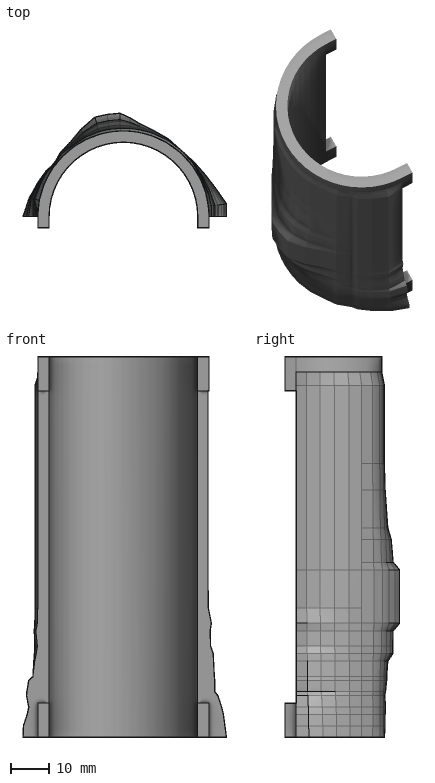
import cadquery as cq
import math

height = 100.0
bore_radius = 19.5
wall = 3.0
tube_radius = bore_radius + wall

collar_height = 4.0
bark_top = height - collar_height
tab_height = 9.0
tab_depth = 3.0

bark_profile = [
    (0, -0.3, 1.0, 0.0, 0.0),
    (7, -0.1, 1.0, 0.0, 0.0),
    (16, 0.1, 0.6, 0.0, 0.0),
    (26, 0.3, 0.3, 0.0, 0.0),
    (37, 0.5, 0.1, 0.0, 0.0),
    (48, 0.6, 0.0, 0.0, 0.0),
    (60, 0.7, 0.0, 0.1, 0.0),
    (71, 0.7, 0.0, 0.2, 0.0),
    (80, 0.7, 0.0, 0.4, 0.0),
    (86, 0.7, 0.0, 0.7, 0.0),
    (92, 0.7, 0.0, 1.0, 0.0),
    (99, 0.7, 0.0, 1.0, 0.0),
    (106, 0.7, 0.0, 1.0, 0.0),
    (116, 0.6, 0.0, 0.6, 0.0),
    (125, 0.4, 0.0, 0.3, 0.0),
    (135, 0.7, 0.0, 0.1, 0.0),
    (145, 0.2, 0.0, 0.0, 0.1),
    (149, 0.7, 0.0, 0.0, 0.1),
    (158, 0.9, 0.0, 0.0, 0.2),
    (169, 1.2, 0.0, 0.0, 0.4),
    (180, 0.0, 0.0, 0.0, 1.0),
]

bark_levels = [
    (0.0, 4.9, 0.0, 3.9),
    (3.0, 4.5, 0.2, 3.8),
    (6.0, 4.1, 0.2, 2.8),
    (8.0, 3.6, 0.3, 2.4),
    (11.0, 2.6, 0.1, 3.0),
    (12.0, 1.8, 0.3, 2.9),
    (15.0, 1.8, 0.6, 2.4),
    (16.0, 1.7, 0.6, 1.3),
    (20.0, 1.5, 0.9, 0.8),
    (22.0, 1.4, 2.2, 0.4),
    (24.0, 0.7, 2.2, 0.1),
    (28.0, 0.6, 2.3, 0.5),
    (30.0, 0.9, 4.0, 0.1),
    (34.0, 0.1, 4.0, 0.0),
    (44.0, 0.0, 4.0, 0.0),
    (46.0, 0.0, 2.3, 0.0),
    (52.0, 0.0, 1.8, 0.0),
    (55.0, 0.0, 0.9, 0.0),
    (65.0, 0.0, 0.2, 0.0),
    (72.0, 0.0, 0.0, 0.0),
    (92.5, 0.0, 0.0, 0.0),
]


def at_angle(radius, angle, z):
    turn = math.radians(angle)
    return cq.Vector(radius * math.cos(turn), radius * math.sin(turn), z)


def bark_outline(z, right_root, crest, left_root, coat_scale=1.0):
    """Closed outline of the trunk at one height, flat along the split plane."""
    points = []
    for angle, coat, right_share, crest_share, left_share in bark_profile:
        swelling = right_share * right_root + crest_share * crest + left_share * left_root
        points.append(at_angle(tube_radius + coat_scale * coat + swelling, angle, z))
    return cq.Wire.makePolygon(points, close=True)


def bark_trunk():
    """Faceted trunk that fades into the collar at its top."""
    outlines = [bark_outline(*level) for level in bark_levels]
    outlines.append(bark_outline(bark_top, 0.0, 0.0, 0.0, coat_scale=0.0))
    return cq.Workplane(cq.Solid.makeLoft(outlines, ruled=True))


def collar():
    return (
        cq.Workplane("XY", origin=(0, 0, bark_top))
        .moveTo(tube_radius, 0)
        .threePointArc((0, tube_radius), (-tube_radius, 0))
        .close()
        .extrude(collar_height)
    )


def tab(side, base):
    """Block that extends one wall end past the split plane."""
    return (
        cq.Workplane("XY")
        .box(wall, tab_depth, tab_height, centered=(True, False, False))
        .translate((side * (bore_radius + wall / 2), -tab_depth, base))
    )


bore = cq.Workplane("XY").circle(bore_radius).extrude(height)
result = bark_trunk().union(collar()).cut(bore)
for side in (-1, 1):
    for base in (0, height - tab_height):
        result = result.union(tab(side, base))